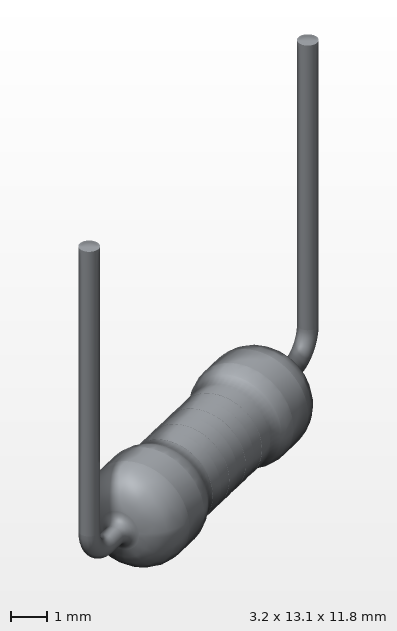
import cadquery as cq
import math

TOTAL_LENGTH = 13.1
LEAD_DIAMETER = 0.6
LEAD_TOP_Z = 10.2
BEND_RADIUS = 0.93

BODY_DIAMETER = 3.2
WAIST_DIAMETER = 2.72
BAND_DIAMETER = 2.74
BAND_COUNT = 4
WAIST_LENGTH = 3.28
SHOULDER_LENGTH = 0.92
CAP_CYLINDER_LENGTH = 0.84
CAP_RADIUS = 1.1
NECK_RADIUS = 0.34

lead_radius = LEAD_DIAMETER / 2
body_radius = BODY_DIAMETER / 2
waist_radius = WAIST_DIAMETER / 2
band_width = WAIST_LENGTH / (2 * BAND_COUNT - 1)
lead_y = TOTAL_LENGTH / 2 - lead_radius
bend_start_y = lead_y - BEND_RADIUS
shoulder_start_y = WAIST_LENGTH / 2
shoulder_end_y = shoulder_start_y + SHOULDER_LENGTH
cap_start_y = shoulder_end_y + CAP_CYLINDER_LENGTH

cap_center_radius = body_radius - CAP_RADIUS
neck_center_radius = lead_radius + NECK_RADIUS
center_distance = CAP_RADIUS + NECK_RADIUS
center_offset = neck_center_radius - cap_center_radius
neck_end_y = cap_start_y + math.sqrt(center_distance**2 - center_offset**2)
contact_share = CAP_RADIUS / center_distance
neck_start = (
    cap_center_radius + center_offset * contact_share,
    cap_start_y + (neck_end_y - cap_start_y) * contact_share,
)


def make_body_end():
    """Revolve the +Y end of the body: shoulder, rounded cap, neck and straight lead stub."""
    shoulder_middle = ((waist_radius + body_radius) / 2, (shoulder_start_y + shoulder_end_y) / 2)
    profile = (
        cq.Workplane("XY")
        .moveTo(0, shoulder_start_y - band_width)
        .lineTo(waist_radius, shoulder_start_y - band_width)
        .lineTo(waist_radius, shoulder_start_y)
        .tangentArcPoint(shoulder_middle, relative=False)
        .tangentArcPoint((body_radius, shoulder_end_y), relative=False)
        .lineTo(body_radius, cap_start_y)
        .tangentArcPoint(neck_start, relative=False)
        .tangentArcPoint((lead_radius, neck_end_y), relative=False)
        .lineTo(lead_radius, bend_start_y)
        .lineTo(0, bend_start_y)
        .close()
    )
    return profile.revolve(360, (0, 0, 0), (0, 1, 0))


def make_rod(diameter, start_y, length):
    """Cylinder along Y, growing from start_y toward +Y."""
    return cq.Workplane("XZ", origin=(0, start_y, 0)).circle(diameter / 2).extrude(-length)


def make_waist():
    """Plain waist with raised colour bands, separated by gaps of the band width."""
    waist = make_rod(WAIST_DIAMETER, -WAIST_LENGTH / 2, WAIST_LENGTH)
    for index in range(BAND_COUNT):
        start_y = -WAIST_LENGTH / 2 + 2 * index * band_width
        waist = waist.union(make_rod(BAND_DIAMETER, start_y, band_width))
    return waist


def make_bent_lead():
    """Sweep the +Y lead from the end of its straight stub up to its top."""
    path = (
        cq.Workplane("YZ")
        .moveTo(bend_start_y, 0)
        .radiusArc((lead_y, BEND_RADIUS), -BEND_RADIUS)
        .lineTo(lead_y, LEAD_TOP_Z)
    )
    section = cq.Workplane("XZ", origin=(0, bend_start_y, 0)).circle(lead_radius)
    return section.sweep(path)


end_part = make_body_end().union(make_bent_lead())
result = make_waist().union(end_part).union(end_part.mirror("XZ"))